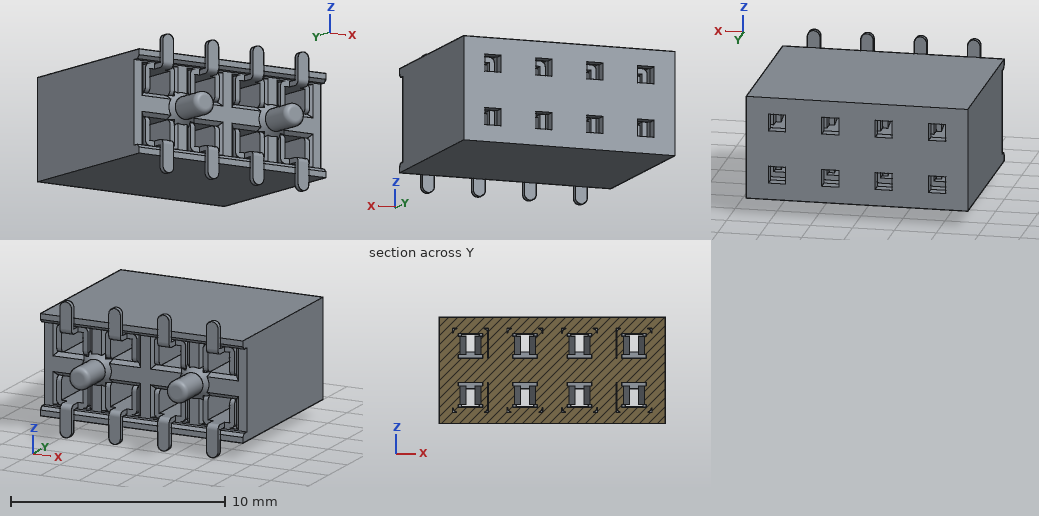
import cadquery as cq


pitch = 2.55
columns = 4
column_places = [(i - (columns - 1) / 2) * pitch for i in range(columns)]
row_height = pitch / 2

body_width = 10.56
body_depth = 8.42
body_height = 4.96
recess_depth = 0.42
rim_height = 0.44
rim_chamfer = 0.16

cell_width = 2.04
cell_inner_z = 0.38
cell_outer_z = 1.96
lead_in = 0.19
rear_wall = 0.53
mating_hole = 0.81
core_start = recess_depth + lead_in
core_width = cell_width - 2 * lead_in
core_inner_z = cell_inner_z + lead_in
core_height = cell_outer_z - core_inner_z

sheet = 0.25
contact_width = 1.64
contact_length = 6.02
contact_end = recess_depth + contact_length
side_bend_radius = 0.24
spring_start = 2.64
spring_tip_gap = 0.41
spring_center_z = 1.16
spring_height = 0.87

lead_width = 0.6
lead_standoff = 0.02
lead_span = 6.6
lead_end_z = lead_span / 2

peg_places = [-pitch, pitch]
peg_diameter = 1.1
peg_tip_y = -1.49
peg_tip_radius = 0.24
peg_foot_height = 0.21


def box(x_range, y_range, z_range):
    """Axis-aligned block between the given limits."""
    size = [high - low for low, high in (x_range, y_range, z_range)]
    corner = (x_range[0], y_range[0], z_range[0])
    return cq.Workplane("XY").box(*size, centered=False).translate(corner)


def mirrored_rows(upper):
    """The upper-row shape together with its mirror image in the lower row."""
    return [upper, upper.mirror("XY")]


def make_shell():
    """Solid housing block whose mounting face is recessed between two chamfered rims."""
    half_height = body_height / 2
    half_recess = half_height - rim_height
    profile = [
        (0, half_height),
        (body_depth, half_height),
        (body_depth, -half_height),
        (0, -half_height),
        (0, -half_recess - rim_chamfer),
        (rim_chamfer, -half_recess),
        (recess_depth, -half_recess),
        (recess_depth, half_recess),
        (rim_chamfer, half_recess),
        (0, half_recess + rim_chamfer),
    ]
    return cq.Workplane("YZ").polyline(profile).close().extrude(body_width / 2, both=True)


def make_lead_in(x):
    """Cell mouth with 45 degree slopes on both sides and on the inner edge."""
    mouth_center_z = (cell_inner_z + cell_outer_z) / 2
    core_center_z = (core_inner_z + cell_outer_z) / 2
    return (
        cq.Workplane("XZ", origin=(x, recess_depth, mouth_center_z))
        .rect(cell_width, cell_outer_z - cell_inner_z)
        .workplane(offset=-lead_in)
        .center(0, core_center_z - mouth_center_z)
        .rect(core_width, core_height)
        .loft(ruled=True)
    )


def make_core(x):
    """Straight part of the cell and the mating hole through the rear wall."""
    core = box(
        (x - core_width / 2, x + core_width / 2),
        (recess_depth, body_depth - rear_wall),
        (core_inner_z, cell_outer_z),
    )
    half_hole = mating_hole / 2
    hole = box(
        (x - half_hole, x + half_hole),
        (core_start, body_depth),
        (row_height - half_hole, row_height + half_hole),
    )
    return core.union(hole)


def make_peg(x):
    """Round peg with a rounded tip and a conical foot that continues to the lead-in depth."""
    radius = peg_diameter / 2
    cone_start = recess_depth - peg_foot_height
    foot_radius = radius + core_start - cone_start
    profile = (
        cq.Workplane("XY")
        .moveTo(0, peg_tip_y)
        .lineTo(radius - peg_tip_radius, peg_tip_y)
        .radiusArc((radius, peg_tip_y + peg_tip_radius), -peg_tip_radius)
        .lineTo(radius, cone_start)
        .lineTo(foot_radius, core_start)
        .lineTo(0, core_start)
        .close()
    )
    return profile.revolve(360, (0, 0, 0), (0, 1, 0)).translate((x, 0, 0))


def make_clip():
    """Folded channel: base on the outer cell wall and two side walls, with two springs."""
    half_width = contact_width / 2
    half_inside = half_width - sheet
    y_range = (recess_depth, contact_end)
    channel = box((-half_width, half_width), y_range, (core_inner_z, cell_outer_z))
    channel = channel.edges("|Y and >Z").fillet(side_bend_radius)
    channel = channel.edges("|X and <Y and <Z").fillet(sheet)
    inside = box((-half_inside, half_inside), y_range, (core_inner_z, cell_outer_z - sheet))
    channel = channel.cut(inside)

    half_gap = spring_tip_gap / 2
    spring_profile = [
        (half_inside, spring_start),
        (half_gap, contact_end),
        (half_gap + sheet, contact_end),
        (half_inside + sheet, spring_start),
    ]
    spring = (
        cq.Workplane("XY")
        .workplane(offset=spring_center_z - spring_height / 2)
        .polyline(spring_profile)
        .close()
        .extrude(spring_height)
    )
    return channel.union(spring).union(spring.mirror("YZ"))


def make_lead():
    """Leg leaving the base of the clip and bent outward, with a round free end."""
    leg_z = cell_outer_z - sheet
    bend = (
        cq.Workplane("YZ")
        .moveTo(recess_depth, leg_z)
        .lineTo(-lead_standoff, leg_z)
        .radiusArc((-lead_standoff - sheet, cell_outer_z), sheet)
        .lineTo(-lead_standoff - sheet, lead_end_z)
        .lineTo(-lead_standoff, lead_end_z)
        .lineTo(-lead_standoff, cell_outer_z)
        .lineTo(recess_depth, cell_outer_z)
        .close()
        .extrude(lead_width / 2, both=True)
    )
    outline = (
        cq.Workplane("XZ", origin=(0, recess_depth, 0))
        .moveTo(-lead_width / 2, leg_z)
        .lineTo(lead_width / 2, leg_z)
        .lineTo(lead_width / 2, lead_end_z - lead_width / 2)
        .threePointArc((0, lead_end_z), (-lead_width / 2, lead_end_z - lead_width / 2))
        .close()
        .extrude(recess_depth + lead_standoff + sheet)
    )
    return bend.intersect(outline)


housing = make_shell()
for x in column_places:
    for mouth in mirrored_rows(make_lead_in(x)):
        housing = housing.cut(mouth)
for x in peg_places:
    housing = housing.union(make_peg(x))
for x in column_places:
    for core in mirrored_rows(make_core(x)):
        housing = housing.cut(core)

contact = make_clip().union(make_lead())
result = housing
for x in column_places:
    for placed_contact in mirrored_rows(contact.translate((x, 0, 0))):
        result = result.union(placed_contact)